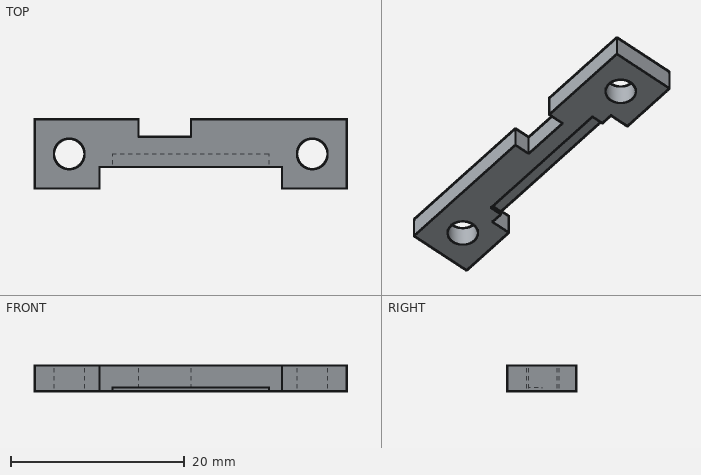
import cadquery as cq

length = 36.0
width = 8.0
thickness = 3.0

hole_diameter = 3.5
hole_inset = width / 2

foot_length = 7.5
front_cutout_depth = 2.5

back_notch_length = length / 6
back_notch_depth = 2.0

recess_length = length / 2
recess_height = 0.45
recess_back = width / 2


def block(x_start, x_end, y_start, y_end, height):
    """Box rising from the bottom plane, between the given X and Y limits."""
    return cq.Workplane("XY").box(
        x_end - x_start, y_end - y_start, height, centered=False
    ).translate((x_start, y_start, 0))


bar = block(0, length, 0, width, thickness)

front_cutout = block(foot_length, length - foot_length, 0, front_cutout_depth, thickness)

back_notch = block(
    length / 2 - back_notch_length, length / 2, width - back_notch_depth, width, thickness
)

recess_start = (length - recess_length) / 2
underside_recess = block(
    recess_start, recess_start + recess_length, front_cutout_depth, recess_back, recess_height
)

holes = (
    cq.Workplane("XY")
    .pushPoints([(hole_inset, width / 2), (length - hole_inset, width / 2)])
    .circle(hole_diameter / 2)
    .extrude(thickness)
)

result = bar.cut(front_cutout).cut(back_notch).cut(underside_recess).cut(holes)